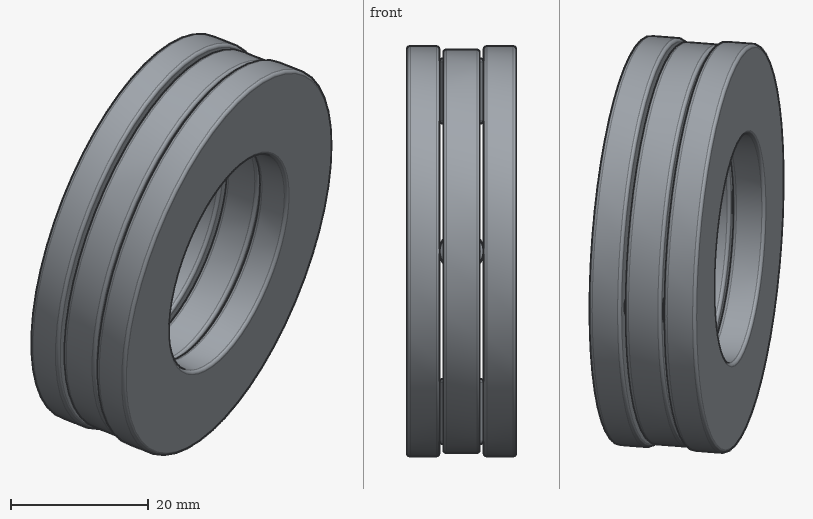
import cadquery as cq

outer_diameter = 59.55
bore_diameter = 33.35
bearing_width = 15.9
edge_radius = 0.5

roller_diameter = 6.35
roller_length = 9.5
roller_count = 4

washer_width = (bearing_width - roller_diameter) / 2
washer_offset = (roller_diameter + washer_width) / 2

cage_setback = 0.5
cage_outer_diameter = outer_diameter - 2 * cage_setback
cage_bore_diameter = bore_diameter + 2 * cage_setback
cage_width = 5.35

roller_pitch_radius = (cage_outer_diameter + cage_bore_diameter) / 4


def make_ring(outside, bore, width, x_center):
    """Flat ring about the X axis with all four circular edges rounded."""
    return (
        cq.Workplane("YZ", origin=(x_center - width / 2, 0, 0))
        .circle(outside / 2)
        .circle(bore / 2)
        .extrude(width)
        .edges()
        .fillet(edge_radius)
    )


def make_washer(x_center):
    return make_ring(outer_diameter, bore_diameter, washer_width, x_center)


def make_roller(angle):
    """Cylinder with rounded ends, its axis radial, turned about X from the +Z position."""
    return (
        cq.Workplane("XY", origin=(0, 0, roller_pitch_radius - roller_length / 2))
        .circle(roller_diameter / 2)
        .extrude(roller_length)
        .faces("<Z or >Z")
        .edges()
        .fillet(edge_radius)
        .rotate((0, 0, 0), (1, 0, 0), angle)
    )


def make_cage(rollers):
    """Ring with a closely fitting pocket around each roller."""
    cage = make_ring(cage_outer_diameter, cage_bore_diameter, cage_width, 0)
    for roller in rollers:
        cage = cage.cut(roller)
    return cage


washers = [make_washer(x_center) for x_center in (-washer_offset, washer_offset)]
rollers = [make_roller(i * 360 / roller_count) for i in range(roller_count)]
cage = make_cage(rollers)

result = cq.Compound.makeCompound(
    [
        *[washer.val() for washer in washers],
        *cage.vals()[0].Solids(),
        *[roller.val() for roller in rollers],
    ]
)